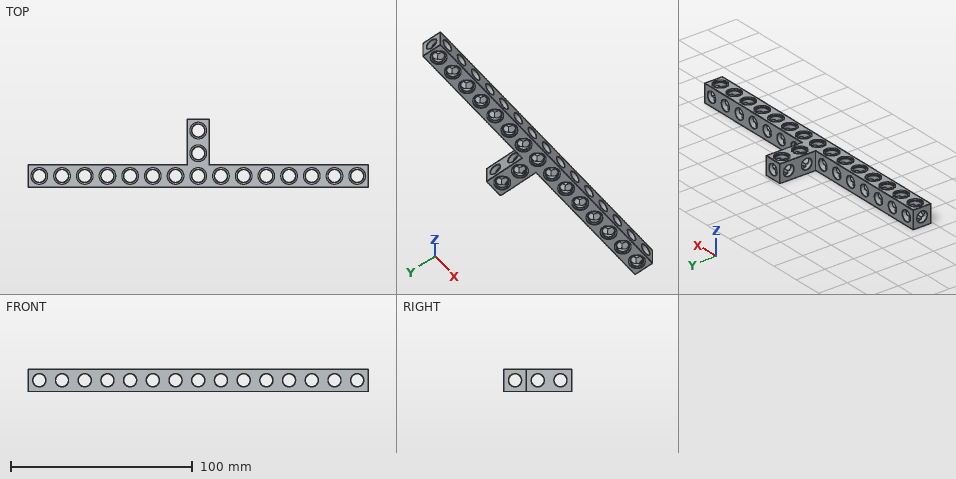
import cadquery as cq

pitch = 12.5
bar_units = 15
arm_units = 2
hole_diameter = 7.0
recess_diameter = 9.2
recess_depth = 0.8
edge_chamfer = 0.2
mouth_chamfer = 0.2

half = pitch / 2
bar_length = bar_units * pitch
bar_end = bar_length / 2
arm_end = half + arm_units * pitch
bar_positions = [(i - (bar_units - 1) / 2) * pitch for i in range(bar_units)]
arm_positions = [(i + 1) * pitch for i in range(arm_units)]


def body():
    """T-shaped body of square section with its outer edges chamfered."""
    bar = cq.Workplane("XY").box(bar_length, pitch, pitch)
    arm = cq.Workplane("XY").box(pitch, arm_end, pitch).translate((0, arm_end / 2, 0))
    tee = bar.union(arm)
    inner_corners = cq.selectors.BoxSelector((-pitch, 0, -half), (pitch, pitch, half))
    upright_edges = cq.selectors.ParallelDirSelector(cq.Vector(0, 0, 1))
    outer_edges = cq.selectors.InverseSelector(inner_corners & upright_edges)
    return tee.edges(outer_edges).chamfer(edge_chamfer)


def hole_profile(start, end):
    """Cutter along local Z from start to end, widening at 45 degrees at both mouths."""
    bore = hole_diameter / 2
    mouth = bore + mouth_chamfer
    outline = [
        (0, start),
        (mouth, start),
        (bore, start + mouth_chamfer),
        (bore, end - mouth_chamfer),
        (mouth, end),
        (0, end),
    ]
    return cq.Workplane("XZ").polyline(outline).close().revolve(360, (0, 0), (0, 1))


def vertical_hole(x, y):
    """Hole along Z with a recess at each mouth and a chamfered rim on each recess floor."""
    floor = half - recess_depth
    recess = cq.Workplane("XY").circle(recess_diameter / 2).extrude(recess_depth)
    hole = hole_profile(-floor, floor)
    hole = hole.union(recess.translate((0, 0, floor)))
    hole = hole.union(recess.translate((0, 0, -half)))
    return hole.translate((x, y, 0))


def hole_along_x(y, start, end):
    """Horizontal hole along X between two X positions."""
    return hole_profile(start, end).rotate((0, 0, 0), (0, 1, 0), 90).translate((0, y, 0))


def hole_along_y(x, start, end):
    """Horizontal hole along Y between two Y positions."""
    return hole_profile(start, end).rotate((0, 0, 0), (1, 0, 0), -90).translate((x, 0, 0))


def all_holes():
    """Cutters for every unit of the bar and the arm."""
    holes = [hole_along_x(0, -bar_end, bar_end), hole_along_y(0, -half, arm_end)]
    for x in bar_positions:
        holes.append(vertical_hole(x, 0))
        if x != 0:
            holes.append(hole_along_y(x, -half, half))
    for y in arm_positions:
        holes.append(vertical_hole(0, y))
        holes.append(hole_along_x(y, -half, half))
    return holes


result = body()
for hole in all_holes():
    result = result.cut(hole)